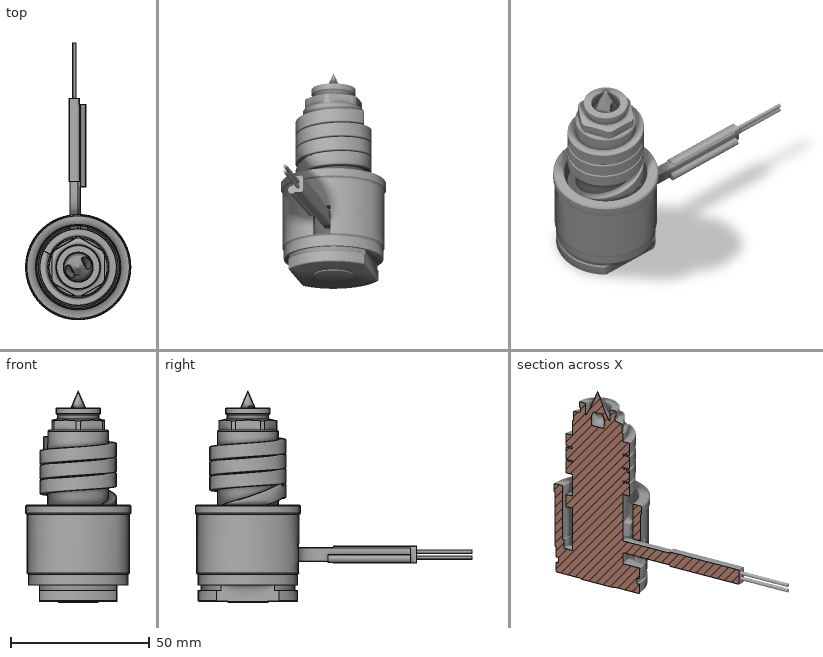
import cadquery as cq
import math


foot_top = 0.3
flange_top = 4.2
neck_top = 6.2
sleeve_bottom = 10.1
collar_bottom = 32.2
sleeve_top = 35.2
core_top = 62.2
hex_top = 65.4
spigot_bottom = 66.2
rim_bottom = 68.1
rim_top = 70.1
tip_top = 76.2

foot_radius = 7.2
base_radius = 18.0
base_neck_radius = 17.0
base_flat_distance = 14.0
sleeve_radius = 18.5
collar_radius = 19.0
bore_radius = 15.0
bore_seat_radius = 14.4
bore_seat_top = 14.0
edge_chamfer = 0.5
bore_chamfer = 0.4
lead_slot_width = 6.6
lead_slot_top = 21.2

core_radius = 11.0
hex_across_flats = 19.0
hex_corner_radius = 10.5
spigot_radius = 7.5
rim_radius = 8.0
rim_chamfer = 0.2
well_radius = 5.2
well_floor = 65.0
cone_slope = 2.65 / (tip_top - rim_top)
tip_base_radius = 3.4
tip_base_level = tip_top - tip_base_radius / cone_slope
flare_bottom = tip_base_level - 3.0
channel_radius = 2.4
channel_offset = channel_radius + 2.2
channel_tilt = 30
channel_length = 20.0
channel_angles = (28, 208)
channel_floor = 62.0

coil_radius = 13.8
coil_embed = 0.2
coil_height = 5.0
coil_fillet = 0.4
coil_pitch = 5.35
coil_bend = (65, 39.9)
coil_top_angle = 155 + 3 * 360
coil_top = (coil_top_angle, coil_bend[1] + coil_pitch * (coil_top_angle - coil_bend[0]) / 360)
coil_knots = [(90 - 360, 24.2), (-90, 29.6), coil_bend, coil_top]

lead_level = 17.2
lead_x = -1.4
lead_embed = 1.0
lead_start = core_radius - lead_embed
lead_width = 3.3
lead_height = 5.1
lead_fillet = 0.8
sheath_start = 30.9
sheath_end = 60.9
sheath_width = 3.7
sheath_height = 6.1
sheath_fillet = 0.9
wire_end = 81.0
wire_diameter = 1.3
wire_spacing = 2.1
side_lead_x = 0.2
side_lead_width = 1.2
side_lead_height = 4.9
side_sheath_x = 1.3
side_sheath_diameter = 2.9
side_sheath_level = 15.8
side_sheath_start = 29.0
side_sheath_end = 58.8


def disc(radius, bottom, top):
    return cq.Workplane("XY").workplane(offset=bottom).circle(radius).extrude(top - bottom)


def make_base():
    """Foot, flange and neck with two flats, and the plain seat above them."""
    flange = disc(base_radius, foot_top, flange_top).faces("<Z").chamfer(foot_top)
    lower = flange.union(disc(base_neck_radius, flange_top, neck_top))
    across_flats = cq.Workplane("XY").box(
        2 * base_flat_distance, 2 * base_radius, neck_top, centered=(True, True, False)
    )
    seat = disc(base_radius, neck_top, sleeve_bottom)
    return lower.intersect(across_flats).union(disc(foot_radius, 0, foot_top)).union(seat)


def make_sleeve():
    """Cup around the lower core, with a collar at its mouth and a slot for the leads."""
    profile = [
        (0, sleeve_bottom),
        (base_radius, sleeve_bottom),
        (sleeve_radius, sleeve_bottom + edge_chamfer),
        (sleeve_radius, collar_bottom - edge_chamfer),
        (collar_radius, collar_bottom),
        (collar_radius, sleeve_top - edge_chamfer),
        (collar_radius - edge_chamfer, sleeve_top),
        (bore_radius + bore_chamfer, sleeve_top),
        (bore_radius, sleeve_top - bore_chamfer),
        (bore_radius, bore_seat_top),
        (bore_seat_radius, bore_seat_top),
        (bore_seat_radius, sleeve_bottom + edge_chamfer),
        (0, sleeve_bottom + edge_chamfer),
    ]
    cup = cq.Workplane("XZ").polyline(profile).close().revolve(360, (0, 0), (0, 1))
    slot_bottom = sleeve_bottom + edge_chamfer
    slot = cq.Workplane("XY").workplane(offset=slot_bottom).rect(
        lead_slot_width, collar_radius, centered=(True, False)
    ).extrude(lead_slot_top - slot_bottom)
    return cup.cut(slot)


def make_hexagon():
    """Hexagon with flats facing X, trimmed corners and a conical top."""
    full_corner_radius = hex_across_flats / 2 / math.cos(math.pi / 6)
    hexagon = (
        cq.Workplane("XY")
        .workplane(offset=core_top)
        .polygon(6, 2 * full_corner_radius)
        .extrude(spigot_bottom - core_top)
        .rotate((0, 0, 0), (0, 0, 1), 30)
    )
    corner_trim = (
        cq.Workplane("XY")
        .workplane(offset=core_top)
        .polygon(6, 2 * hex_corner_radius / math.cos(math.pi / 6))
        .extrude(spigot_bottom - core_top)
    )
    top_cone = (
        cq.Workplane("XZ")
        .polyline([
            (0, core_top),
            (full_corner_radius, core_top),
            (full_corner_radius, hex_top),
            (spigot_radius, spigot_bottom),
            (0, spigot_bottom),
        ])
        .close()
        .revolve(360, (0, 0), (0, 1))
    )
    return hexagon.intersect(corner_trim).intersect(top_cone)


def make_core():
    """Core cylinder, hexagon, and the grooved spigot with its open well."""
    core = disc(core_radius, sleeve_bottom, core_top).faces(">Z").chamfer(edge_chamfer)
    spigot_profile = [
        (0, core_top),
        (spigot_radius, core_top),
        (spigot_radius, rim_bottom - edge_chamfer),
        (rim_radius, rim_bottom),
        (rim_radius, rim_top - rim_chamfer),
        (rim_radius - rim_chamfer, rim_top),
        (well_radius + rim_chamfer, rim_top),
        (well_radius, rim_top - rim_chamfer),
        (well_radius, well_floor),
        (0, well_floor),
    ]
    spigot = cq.Workplane("XZ").polyline(spigot_profile).close().revolve(360, (0, 0), (0, 1))
    well = disc(well_radius, well_floor, rim_top)
    return core.union(make_hexagon()).cut(well).union(spigot)


def make_tip():
    """Conical tip that flares out to the wall of the well."""
    profile = [
        (0, well_floor),
        (well_radius, well_floor),
        (well_radius, flare_bottom),
        (tip_base_radius, tip_base_level),
        (0, tip_top),
    ]
    return cq.Workplane("XZ").polyline(profile).close().revolve(360, (0, 0), (0, 1))


def make_melt_channels():
    """Two channels beside the tip, leaning inwards as they go down, kept within the well."""
    upright = disc(channel_radius, -channel_length / 2, channel_length / 2)
    leaning = upright.rotate((0, 0, 0), (0, 1, 0), channel_tilt).translate((channel_offset, 0, rim_top))
    channels = cq.Workplane("XY")
    for angle in channel_angles:
        channels = channels.union(leaning.rotate((0, 0, 0), (0, 0, 1), angle))
    return channels.intersect(disc(well_radius, channel_floor, tip_top))


def make_coil_run(start, end):
    """One stretch of the flat heater strip, rising evenly between two knots."""
    start_angle, start_level = start
    end_angle, end_level = end
    rise = end_level - start_level
    pitch = rise * 360 / (end_angle - start_angle)
    inner_radius = core_radius - coil_embed
    strip_width = coil_radius - inner_radius
    middle_radius = (coil_radius + inner_radius) / 2
    path = cq.Wire.makeHelix(pitch, rise, middle_radius)
    section = cq.Sketch().rect(strip_width, coil_height).vertices().fillet(coil_fillet)
    run = (
        cq.Workplane("XZ")
        .center(middle_radius, 0)
        .placeSketch(section)
        .sweep(cq.Workplane(path), isFrenet=True)
    )
    return run.rotate((0, 0, 0), (0, 0, 1), start_angle).translate((0, 0, start_level))


def rounded_bar(x, width, height, fillet, start, end):
    """Bar along Y, centred on the level of the leads, with rounded long edges."""
    bar = cq.Workplane("XY").box(width, end - start, height).edges("|Y").fillet(fillet)
    return bar.translate((x, (start + end) / 2, lead_level))


def make_leads():
    """Main lead with its sheath and two bare wires, and the smaller lead beside it."""
    leads = rounded_bar(lead_x, lead_width, lead_height, lead_fillet, lead_start, sheath_end)
    leads = leads.union(
        rounded_bar(lead_x, sheath_width, sheath_height, sheath_fillet, sheath_start, sheath_end)
    )
    side_lead = (
        cq.Workplane("XZ", origin=(side_lead_x, lead_start, lead_level))
        .slot2D(side_lead_height, side_lead_width, 90)
        .extrude(lead_start - side_sheath_end)
    )
    side_sheath = (
        cq.Workplane("XZ", origin=(side_sheath_x, side_sheath_start, side_sheath_level))
        .circle(side_sheath_diameter / 2)
        .extrude(side_sheath_start - side_sheath_end)
    )
    wires = (
        cq.Workplane("XZ", origin=(lead_x, sheath_start, lead_level))
        .pushPoints([(0, -wire_spacing / 2), (0, wire_spacing / 2)])
        .circle(wire_diameter / 2)
        .extrude(sheath_start - wire_end)
    )
    return leads.union(side_lead).union(side_sheath).union(wires)


body = make_base().union(make_sleeve()).union(make_core()).union(make_tip())
body = body.cut(make_melt_channels())
for run_start, run_end in zip(coil_knots, coil_knots[1:]):
    body = body.union(make_coil_run(run_start, run_end))
result = body.union(make_leads())